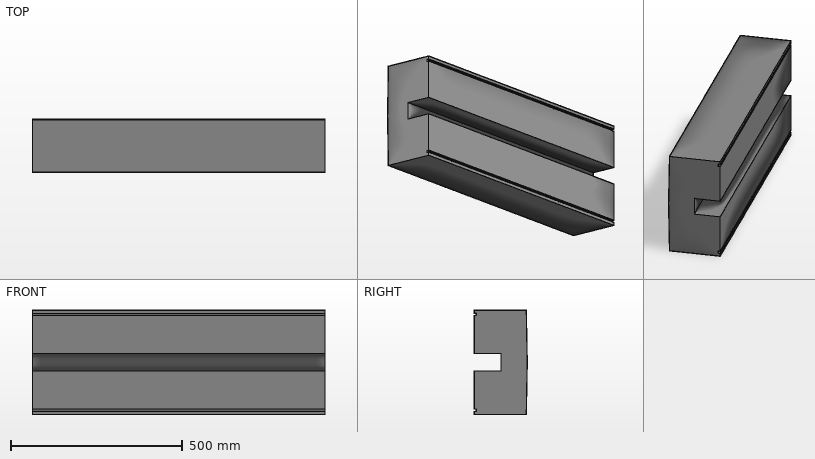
import cadquery as cq

length = 853.5
depth = 155.0
height = 305.0

ridge_rise = 2.8

channel_height = 50.0
channel_depth = 78.0

groove_height = 6.4
groove_depth = 6.0
groove_edge_distance = 9.0

front = -depth / 2
rear = depth / 2
half_height = height / 2


def front_slot(slot_height, slot_depth, center_z):
    """Full-length rectangular slot opening on the front face."""
    return cq.Workplane("XY").box(length, slot_depth, slot_height).translate(
        (0, front + slot_depth / 2, center_z)
    )


result = (
    cq.Workplane("YZ")
    .moveTo(front, -half_height)
    .lineTo(rear - ridge_rise, -half_height)
    .lineTo(rear, 0)
    .lineTo(rear - ridge_rise, half_height)
    .lineTo(front, half_height)
    .close()
    .extrude(length / 2, both=True)
)

result = result.cut(front_slot(channel_height, channel_depth, 0))

groove_z = half_height - groove_edge_distance - groove_height / 2
for side in (-1, 1):
    result = result.cut(front_slot(groove_height, groove_depth, side * groove_z))